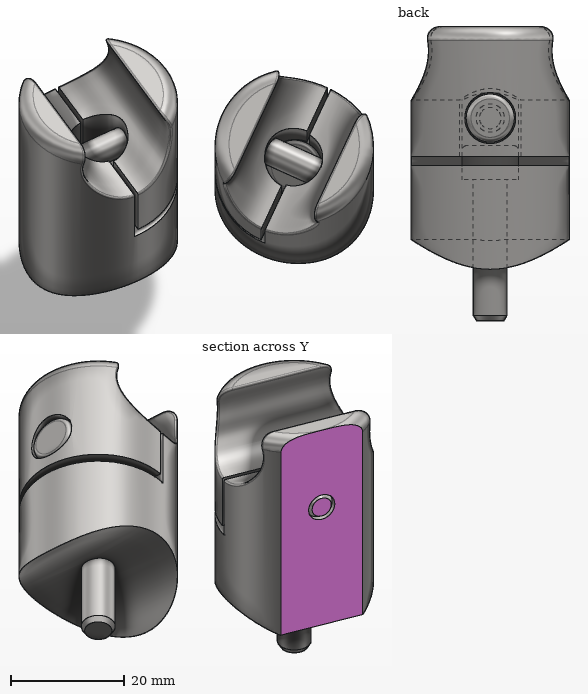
import cadquery as cq


column_radius = 14.0
column_bottom = 9.0
column_top = 52.0
rim_radius = 2.5
edge_fillet = 0.3

saddle_radius = 21.2
saddle_crown = 14.4
saddle_axis_z = saddle_crown - saddle_radius

gap_width = 0.7
gap_mid_y = -gap_width / 2
groove_radius = 8.7
groove_axis_z = 47.7

step_z = 27.4
jaw_clearance = 1.6
jaw_bottom = step_z + jaw_clearance

bolt_diameter = 6.0
bolt_head_diameter = 10.0
bolt_head_height = 6.0
bolt_shank_length = 25.0
bolt_head_fillet = 1.0
jaw_bore_radius = 5.4
jaw_bore_y = -0.2

screw_diameter = 5.0
screw_head_diameter = 8.5
screw_head_height = 5.0
screw_shank_length = 20.0
screw_head_fillet = 0.85
screw_head_face_y = 13.5
screw_z = 35.8
screw_recess_diameter = 9.0
screw_seat_y = screw_head_face_y - screw_head_height

tip_chamfer_length = 1.0
tip_chamfer_depth = 0.6

selection_margin = 1.0

reach = 2 * column_radius


def y_cylinder(diameter, y_start, y_end):
    """Cylinder on the clamp screw axis between two Y positions."""
    return (
        cq.Workplane("XZ", origin=(0, y_start, screw_z))
        .circle(diameter / 2)
        .extrude(y_start - y_end)
    )


def z_cylinder(radius, z_start, z_end, y=0.0):
    """Vertical cylinder between two heights."""
    return cq.Workplane("XY", origin=(0, y, z_start)).circle(radius).extrude(z_end - z_start)


def x_cylinder(radius, y, z):
    """Cylinder along X that passes right through the column."""
    return cq.Workplane("YZ", origin=(0, y, z)).circle(radius).extrude(reach, both=True)


def make_column():
    """Round column with a rolled rim, the bar groove and the saddle underside."""
    column = z_cylinder(column_radius, column_bottom, column_top)
    column = column.faces(">Z").edges().fillet(rim_radius)
    column = column.cut(x_cylinder(saddle_radius, 0, saddle_axis_z))
    column = column.cut(x_cylinder(groove_radius, gap_mid_y, groove_axis_z))
    groove_edges = cq.selectors.BoxSelector(
        (-reach, gap_mid_y - groove_radius, groove_axis_z - groove_radius - selection_margin),
        (reach, gap_mid_y + groove_radius, column_top + selection_margin),
        boundingbox=True,
    )
    return column.edges(groove_edges).fillet(edge_fillet)


def clamp_block(y_start, y_end, z_start):
    """Block as wide as the clamp between two Y positions, upward from a given height."""
    return (
        cq.Workplane("XY", origin=(0, (y_start + y_end) / 2, z_start))
        .rect(2 * reach, y_end - y_start)
        .extrude(column_top)
    )


def make_housing(column):
    """Full lower column with the fixed half of the clamp on the -Y side."""
    bolt_seat_z = bolt_shank_length
    screw_tip_y = screw_seat_y - screw_shank_length
    housing = column.cut(clamp_block(-gap_width, reach, step_z))
    housing = housing.cut(z_cylinder(bolt_head_diameter / 2, bolt_seat_z, column_top))
    housing = housing.cut(z_cylinder(bolt_diameter / 2, 0, bolt_seat_z))
    return housing.cut(y_cylinder(screw_diameter, screw_tip_y, 0))


def make_jaw(column):
    """Loose half of the clamp on the +Y side."""
    jaw = column.intersect(clamp_block(0, reach, jaw_bottom))
    jaw = jaw.cut(z_cylinder(jaw_bore_radius, 0, column_top, jaw_bore_y))
    jaw = jaw.cut(y_cylinder(screw_diameter, 0, reach))
    return jaw.cut(y_cylinder(screw_recess_diameter, screw_seat_y, reach))


def make_screw(shank_diameter, shank_length, head_diameter, head_height, head_fillet):
    """Cylinder-head screw standing on its tip at the origin."""
    shank = z_cylinder(shank_diameter / 2, 0, shank_length)
    shank = shank.faces("<Z").edges().chamfer(tip_chamfer_length, tip_chamfer_depth)
    head = z_cylinder(head_diameter / 2, shank_length, shank_length + head_height)
    head = head.faces(">Z").edges().fillet(head_fillet)
    return shank.union(head)


column = make_column()
housing = make_housing(column)
jaw = make_jaw(column)

mounting_bolt = make_screw(
    bolt_diameter, bolt_shank_length, bolt_head_diameter, bolt_head_height, bolt_head_fillet
)

clamp_screw = (
    make_screw(
        screw_diameter, screw_shank_length, screw_head_diameter, screw_head_height, screw_head_fillet
    )
    .rotate((0, 0, 0), (1, 0, 0), -90)
    .translate((0, screw_seat_y - screw_shank_length, screw_z))
)

result = cq.Compound.makeCompound(
    [housing.val(), jaw.val(), mounting_bolt.val(), clamp_screw.val()]
)